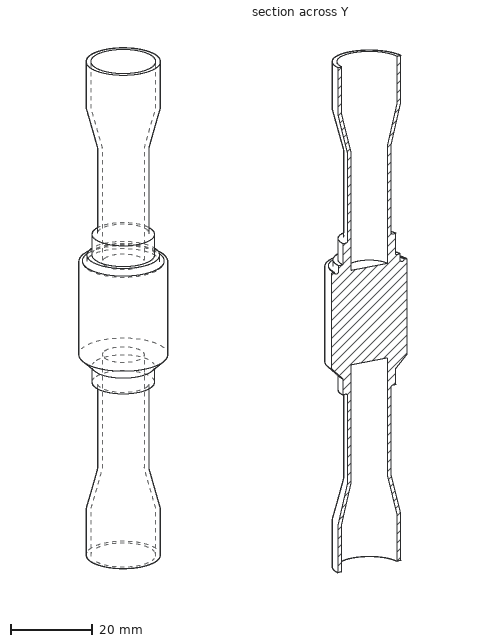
import cadquery as cq

SELECT_MARGIN = 0.1

length = 131.0
half_length = length / 2

socket_diameter = 18.3
socket_bore = 16.0
wall = (socket_diameter - socket_bore) / 2
tube_diameter = 12.7
tube_bore = tube_diameter - 2 * wall
socket_depth = 12.2
flare_length = 10.6
bend_radius = 1.6

body_diameter = 22.0
collar_diameter = 15.5
step_diameter = 18.0
lower_collar_bottom = 45.8
body_cone_bottom = 50.0
body_bottom = 53.2
body_top = 78.1
step_top = 79.6
upper_collar_top = 85.2

rim_radius = 0.3
tube_joint_radius = 0.4

groove_diameter = 20.2
groove_depth = 0.5


def cylinder(diameter, bottom, top):
    """Upright cylinder between two heights above the bottom end."""
    base = cq.Workplane("XY").workplane(offset=bottom - half_length)
    return base.circle(diameter / 2).extrude(top - bottom)


def fillet_joint(part, diameter, height, radius):
    """Round the circular edge of the given diameter at a height above the bottom end."""
    reach = diameter / 2 + SELECT_MARGIN
    z = height - half_length
    corner = cq.selectors.BoxSelector(
        (-reach, -reach, z - SELECT_MARGIN),
        (reach, reach, z + SELECT_MARGIN),
        boundingbox=True,
    )
    return part.edges(corner).fillet(radius)


def flared_solid(end_diameter, neck_diameter, inner_end):
    """Solid of a socket, its flare and the neck, from the bottom end up to inner_end."""
    end_radius = end_diameter / 2
    neck_radius = neck_diameter / 2
    flare_top = socket_depth + flare_length
    outline = [
        (0, 0),
        (end_radius, 0),
        (end_radius, socket_depth),
        (neck_radius, flare_top),
        (neck_radius, inner_end),
        (0, inner_end),
    ]
    solid = cq.Workplane("XZ").polyline(outline).close().revolve(360, (0, 0), (0, 1))
    solid = solid.translate((0, 0, -half_length))
    solid = fillet_joint(solid, end_diameter, socket_depth, bend_radius)
    return fillet_joint(solid, neck_diameter, flare_top, bend_radius)


def make_body():
    """Body with a conical lower end, a rounded upper rim, a ring groove, a step and collars."""
    cone_height = body_bottom - body_cone_bottom
    cone_base = cq.Workplane("XY").workplane(offset=body_cone_bottom - half_length)
    cone = (
        cone_base.circle(collar_diameter / 2)
        .workplane(offset=cone_height)
        .circle(body_diameter / 2)
        .loft(ruled=True)
    )
    body = cylinder(body_diameter, body_bottom, body_top)
    body = body.faces(">Z").edges().fillet(rim_radius).union(cone)
    inner_radius = step_diameter / 2
    outer_radius = groove_diameter / 2
    top_z = body_top - half_length
    groove = (
        cq.Workplane("XZ")
        .moveTo(inner_radius, top_z)
        .threePointArc(((inner_radius + outer_radius) / 2, top_z - groove_depth), (outer_radius, top_z))
        .close()
        .revolve(360, (0, 0), (0, 1))
    )
    body = body.cut(groove)
    body = body.union(cylinder(step_diameter, body_bottom, step_top))
    return body.union(cylinder(collar_diameter, lower_collar_bottom, upper_collar_top))


lower_tube = flared_solid(socket_diameter, tube_diameter, body_bottom)
lower_bore = flared_solid(socket_bore, tube_bore, body_bottom)

result = make_body()
result = result.union(lower_tube).union(lower_tube.mirror("XY"))
for joint_height in (lower_collar_bottom, upper_collar_top):
    result = fillet_joint(result, tube_diameter, joint_height, tube_joint_radius)

result = result.cut(lower_bore).cut(lower_bore.mirror("XY"))